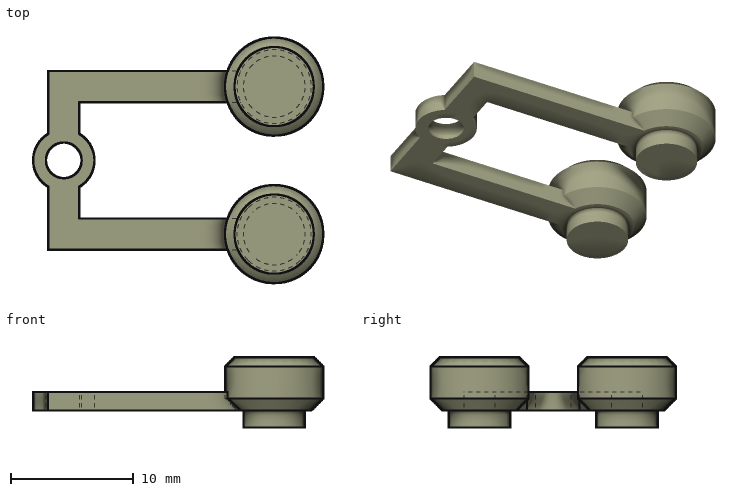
import cadquery as cq

bar_width = 2.55
bracket_thickness = 1.5
lug_diameter = 5.0
lug_hole_diameter = 2.88

button_diameter = 8.0
button_height = 4.35
button_top_chamfer = 0.78
button_bottom_chamfer = 1.0
stem_diameter = 5.0
stem_height = 1.4

overall_length = 23.62
button_spacing = 12.0
button_x = overall_length - lug_diameter / 2 - button_diameter / 2
sides = (-1, 1)


def make_button(side):
    """One button with its stem, on the -Y (side = -1) or +Y (side = 1) arm of the bracket."""
    centre_plane = cq.Workplane("XY").center(button_x, side * button_spacing / 2)
    disc = (
        centre_plane.circle(button_diameter / 2)
        .extrude(button_height)
        .faces(">Z")
        .chamfer(button_top_chamfer)
        .faces("<Z")
        .chamfer(button_bottom_chamfer)
    )
    stem = centre_plane.circle(stem_diameter / 2).extrude(-stem_height)
    return disc.union(stem)


def make_bracket(buttons):
    """U-shaped frame whose two arms end against the buttons."""
    frame_length = button_x + bar_width / 2
    frame_width = button_spacing + bar_width
    opening_width = button_spacing - bar_width
    frame = (
        cq.Workplane("XY")
        .box(frame_length, frame_width, bracket_thickness, centered=(False, True, False))
        .translate((-bar_width / 2, 0, 0))
    )
    opening = (
        cq.Workplane("XY")
        .box(frame_length, opening_width, bracket_thickness, centered=(False, True, False))
        .translate((bar_width / 2, 0, 0))
    )
    lug = cq.Workplane("XY").circle(lug_diameter / 2).extrude(bracket_thickness)
    lug_hole = cq.Workplane("XY").circle(lug_hole_diameter / 2).extrude(bracket_thickness)

    bracket = frame.cut(opening).union(lug).cut(lug_hole)
    for button in buttons:
        bracket = bracket.cut(button)
    return bracket


buttons = [make_button(side) for side in sides]
bracket = make_bracket(buttons)

result = cq.Compound.makeCompound([bracket.val(), *[button.val() for button in buttons]])